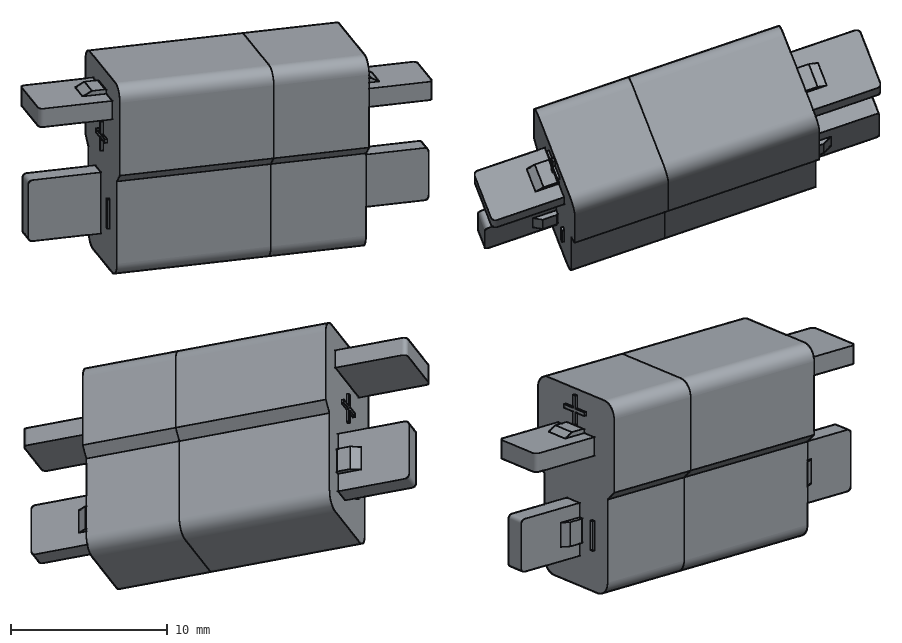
import cadquery as cq


HEIGHT = 13.3
HEAD_WIDTH = 7.6
SHOULDER = 0.65
FOOT_WIDTH = HEAD_WIDTH - 2 * SHOULDER
FOOT_TOP = 6.65
CORNER_RADIUS = 1.0
FRONT_LENGTH = 10.25
REAR_LENGTH = 6.35

OVERALL_LENGTH = 26.3
TAIL_LENGTH = (OVERALL_LENGTH - FRONT_LENGTH - REAR_LENGTH) / 2
BLADE_THICKNESS = 1.27
BLADE_TIP_RADIUS = 0.3
FRONT_BLADE_WIDTH = 4.2
REAR_BLADE_WIDTH = 3.6
BUMP_WIDTH = 1.65
BUMP_HEIGHT = 0.31
BUMP_START = 0.08
BUMP_END = 1.58
FRONT_BUMP_RAMP = 0.62
REAR_BUMP_RAMP = 0.55

UPPER_MATING_Z = HEIGHT - 2.79
LOWER_MATING_X = -0.36
LOWER_CONTACT_Z = 3.83

MARK_LENGTH = 2.0
MARK_WIDTH = 0.25
MARK_HEIGHT = 0.16
FRONT_PLUS_Z = HEIGHT - 4.69
REAR_PLUS_Z = HEIGHT - 1.42
FRONT_MINUS_X = 1.5
REAR_MINUS_X = -1.75

FRONT = -1
REAR = 1


def housing_block(length, direction):
    """Keyed prism with a wide head and a narrow foot, running from Y = 0."""
    head = HEAD_WIDTH / 2
    foot = FOOT_WIDTH / 2
    right_side = [(foot, 0), (foot, FOOT_TOP), (head, FOOT_TOP + SHOULDER), (head, HEIGHT)]
    left_side = [(-x, z) for x, z in reversed(right_side)]
    block = cq.Workplane("XZ").polyline(right_side + left_side).close().extrude(-direction * length)
    return block.edges("|Y and (>Z or <Z)").fillet(CORNER_RADIUS)


def mark_bar(size_x, size_z, x, z, length, direction):
    """One raised bar standing on the end face of a housing."""
    y = direction * (length + MARK_HEIGHT / 2)
    return cq.Workplane("XY").box(size_x, MARK_HEIGHT, size_z).translate((x, y, z))


def make_housing(length, direction, plus_z, minus_x, contacts):
    """Housing with its plus and minus marks and a matching slot for each contact."""
    housing = housing_block(length, direction)
    housing = housing.union(mark_bar(MARK_LENGTH, MARK_WIDTH, 0, plus_z, length, direction))
    housing = housing.union(mark_bar(MARK_WIDTH, MARK_LENGTH, 0, plus_z, length, direction))
    housing = housing.union(
        mark_bar(MARK_WIDTH, MARK_LENGTH, minus_x, LOWER_CONTACT_Z, length, direction)
    )
    for contact in contacts:
        housing = housing.cut(contact)
    return housing


def make_contact(width, bottom, bump_ramp, housing_length, direction):
    """Flat blade lying on Z = bottom, from Y = 0 out of the housing, with a bump on top."""
    blade_length = housing_length + TAIL_LENGTH
    blade = cq.Workplane("XY").box(width, blade_length, BLADE_THICKNESS, centered=(True, False, False))
    blade = blade.edges("|Z and >Y").fillet(BLADE_TIP_RADIUS)

    flat_start = housing_length + BUMP_START
    bump_end = housing_length + BUMP_END
    bump_top = BLADE_THICKNESS + BUMP_HEIGHT
    bump_profile = [
        (flat_start - bump_ramp, BLADE_THICKNESS),
        (flat_start, bump_top),
        (bump_end - bump_ramp, bump_top),
        (bump_end, BLADE_THICKNESS),
    ]
    bump = cq.Workplane("YZ").polyline(bump_profile).close().extrude(BUMP_WIDTH / 2, both=True)

    contact = blade.union(bump).translate((0, 0, bottom))
    if direction == FRONT:
        contact = contact.rotate((0, 0, 0), (0, 0, 1), 180)
    return contact


def place_upper(contact):
    """Lay a contact flat in the head."""
    return contact.translate((0, 0, UPPER_MATING_Z))


def place_lower(contact):
    """Stand a contact upright in the foot, with its bump facing -X."""
    upright = contact.rotate((0, 0, 0), (0, 1, 0), -90)
    return upright.translate((LOWER_MATING_X, 0, LOWER_CONTACT_Z))


front_contacts = []
rear_contacts = []
for place in (place_upper, place_lower):
    front_contacts.append(
        place(make_contact(FRONT_BLADE_WIDTH, 0, FRONT_BUMP_RAMP, FRONT_LENGTH, FRONT))
    )
    rear_contacts.append(
        place(make_contact(REAR_BLADE_WIDTH, -BLADE_THICKNESS, REAR_BUMP_RAMP, REAR_LENGTH, REAR))
    )

front_housing = make_housing(FRONT_LENGTH, FRONT, FRONT_PLUS_Z, FRONT_MINUS_X, front_contacts)
rear_housing = make_housing(REAR_LENGTH, REAR, REAR_PLUS_Z, REAR_MINUS_X, rear_contacts)

result = cq.Compound.makeCompound([
    front_housing.val(),
    rear_housing.val(),
    *[contact.val() for contact in front_contacts],
    *[contact.val() for contact in rear_contacts],
])